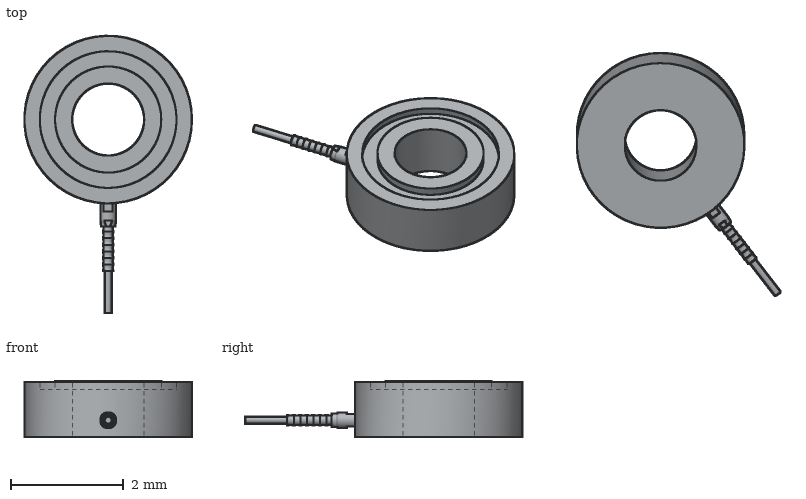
import cadquery as cq

body_radius = 1.49
rim_height = 0.98
hub_height = 1.0
groove_outer_radius = 1.215
hub_radius = 0.943
bore_radius = 0.637
groove_floor_height = 0.85

cable_height = 0.3
gland_radius = 0.14
gland_tip_radius = 0.1275
gland_length = 0.41
gland_end = body_radius + gland_length
taper_length = 0.095
flat_offset = 0.114
flat_length = 0.14
tip_flat_offset = 0.123
tip_flat_length = 0.103
sleeve_radius = 0.0955
sleeve_end = 2.69
cable_radius = 0.065
cable_end = 3.44

corrugation_pitch = 0.1165
corrugation_count = 7
corrugation_depth = 0.011
first_corrugation = sleeve_end - corrugation_count * corrugation_pitch

root_overlap = 0.1
root_distance = body_radius - root_overlap


def cable_rod(radius, start, end):
    """Cylinder on the cable axis between two distances from the Z axis."""
    return (
        cq.Workplane("XZ", origin=(0, -start, cable_height))
        .circle(radius)
        .extrude(end - start)
    )


def make_ring():
    """Ring with a raised hub, set apart from the rim by an annular groove."""
    profile = [
        (bore_radius, 0),
        (body_radius, 0),
        (body_radius, rim_height),
        (groove_outer_radius, rim_height),
        (groove_outer_radius, groove_floor_height),
        (hub_radius, groove_floor_height),
        (hub_radius, hub_height),
        (bore_radius, hub_height),
    ]
    return cq.Workplane("XZ").polyline(profile).close().revolve(360, (0, 0, 0), (0, 1, 0))


def flat_cutters(offset, start, end):
    """Blocks that cut a flat above and below the cable axis."""
    thickness = gland_radius
    centre_offset = offset + thickness / 2
    block = cq.Workplane("XY", origin=(0, -(start + end) / 2, cable_height)).box(
        2 * gland_radius, end - start, thickness
    )
    upper = block.translate((0, 0, centre_offset))
    lower = block.translate((0, 0, -centre_offset))
    return upper.union(lower)


def make_gland():
    """Gland with a tapered tip and flats at both ends."""
    taper_start = gland_end - taper_length
    profile = [
        (0, root_distance),
        (gland_radius, root_distance),
        (gland_radius, taper_start),
        (gland_tip_radius, gland_end),
        (0, gland_end),
    ]
    gland = (
        cq.Workplane("XY")
        .polyline([(radius, -distance) for radius, distance in profile])
        .close()
        .revolve(360, (0, 0, 0), (0, 1, 0))
        .translate((0, 0, cable_height))
    )
    gland = gland.cut(flat_cutters(flat_offset, root_distance, body_radius + flat_length))
    return gland.cut(flat_cutters(tip_flat_offset, gland_end - tip_flat_length, gland_end))


def make_sleeve():
    """Strain relief sleeve whose outline is a row of shallow scallops."""
    outline = (
        cq.Workplane("XY")
        .moveTo(0, -root_distance)
        .lineTo(sleeve_radius, -root_distance)
        .lineTo(sleeve_radius, -first_corrugation)
    )
    for index in range(corrugation_count):
        start = first_corrugation + index * corrugation_pitch
        outline = outline.threePointArc(
            (sleeve_radius - corrugation_depth, -(start + corrugation_pitch / 2)),
            (sleeve_radius, -(start + corrugation_pitch)),
        )
    return (
        outline.lineTo(0, -sleeve_end)
        .close()
        .revolve(360, (0, 0, 0), (0, 1, 0))
        .translate((0, 0, cable_height))
    )


result = (
    make_ring()
    .union(make_gland())
    .union(make_sleeve())
    .union(cable_rod(cable_radius, root_distance, cable_end))
)